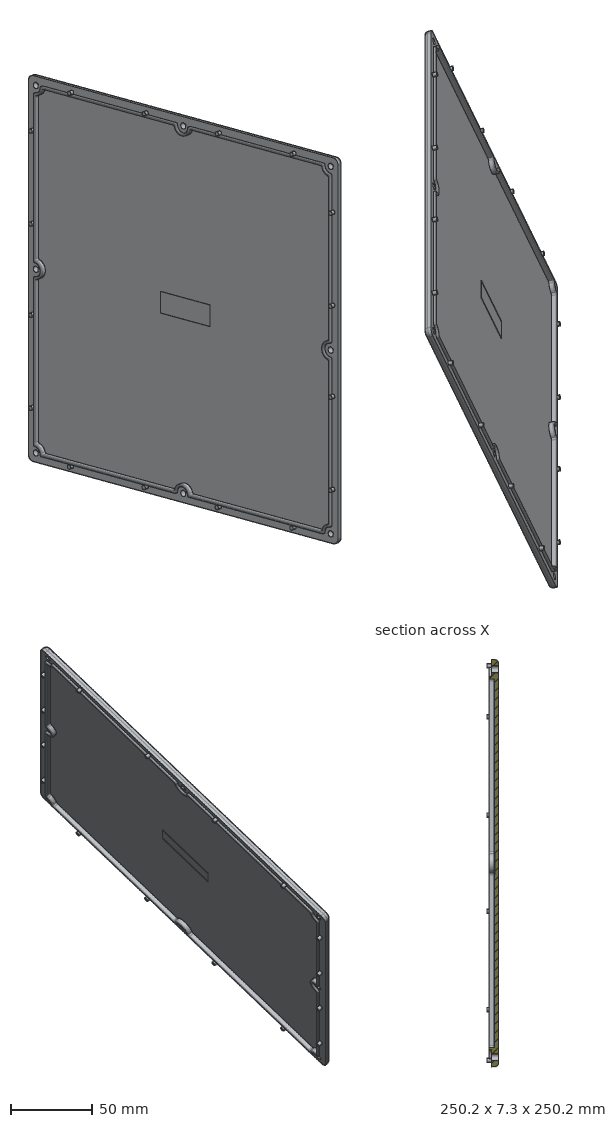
import cadquery as cq

side = 250.2
total_depth = 7.3
plate_thickness = 4.5
corner_radius = 4.0
outer_edge_radius = 2.5

hole_inset = 6.0
hole_diameter = 4.0

ridge_inset = 5.0
ridge_width = 1.8
ridge_height = 1.5
ridge_crest_radius = 0.5
ridge_hole_clearance = 4.5
ridge_blend_radius = 1.3

floor_recess = 1.8

peg_inset = 4.0
peg_diameter = 2.8
peg_positions = (-89.8, -29.5, 29.5, 89.8)

label_width = 40.0
label_height = 14.0
label_depth = 0.3

outer_y = total_depth / 2
rim_y = outer_y - plate_thickness
floor_y = rim_y + floor_recess
ridge_y = rim_y - ridge_height
peg_y = -total_depth / 2

hole_reach = side / 2 - hole_inset
hole_centers = [
    (column * hole_reach, row * hole_reach)
    for column in (-1, 0, 1)
    for row in (-1, 0, 1)
    if (column, row) != (0, 0)
]


def plane_at(y):
    """XZ sketch plane at the given Y, with its normal toward -Y."""
    return cq.Workplane("XZ", origin=(0, y, 0))


def plate():
    blank = plane_at(outer_y).rect(side, side).extrude(plate_thickness)
    blank = blank.edges("|Y").fillet(corner_radius)
    return blank.faces(">Y").edges().fillet(outer_edge_radius)


def scalloped_block(inset, hole_clearance, start_y, end_y):
    """Square block with a round bite taken out around every screw hole."""
    width = side - 2 * inset
    depth = start_y - end_y
    block = plane_at(start_y).rect(width, width).extrude(depth)
    bites = plane_at(start_y).pushPoints(hole_centers).circle(hole_clearance).extrude(depth)
    return block.cut(bites).edges("|Y").fillet(ridge_blend_radius)


def interior():
    """Space enclosed by the ridge, from the sunken inner face to the ridge crest."""
    inset = ridge_inset + ridge_width
    hole_clearance = ridge_hole_clearance + ridge_width
    return scalloped_block(inset, hole_clearance, floor_y, ridge_y)


def ridge():
    block = scalloped_block(ridge_inset, ridge_hole_clearance, rim_y, ridge_y)
    wall = block.cut(interior())
    return wall.faces("<Y").edges().fillet(ridge_crest_radius)


def pegs():
    reach = side / 2 - peg_inset
    centers = []
    for position in peg_positions:
        for edge in (-reach, reach):
            centers += [(position, edge), (edge, position)]
    return plane_at(rim_y).pushPoints(centers).circle(peg_diameter / 2).extrude(rim_y - peg_y)


def screw_holes():
    return plane_at(outer_y).pushPoints(hole_centers).circle(hole_diameter / 2).extrude(plate_thickness)


def label_recess():
    return plane_at(floor_y + label_depth).rect(label_width, label_height).extrude(label_depth)


result = plate().cut(interior()).union(ridge()).union(pegs()).cut(screw_holes()).cut(label_recess())